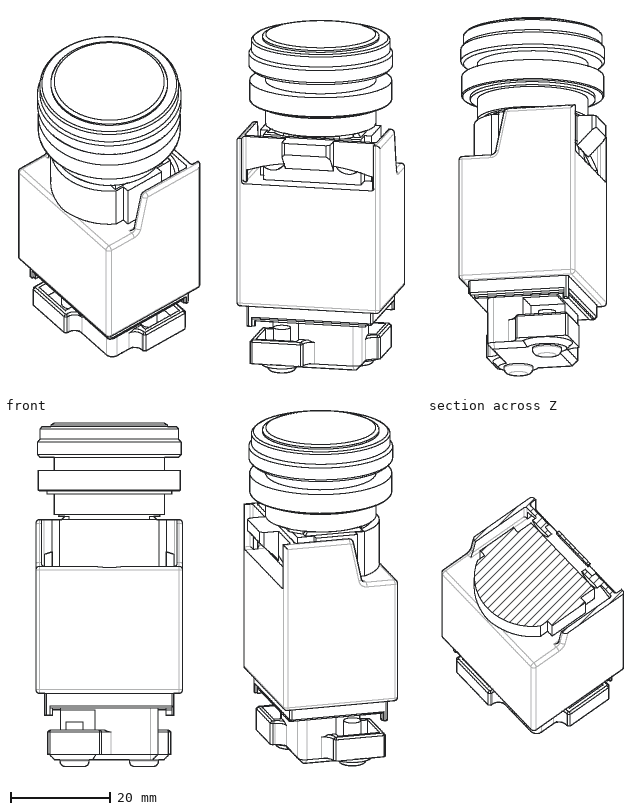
import cadquery as cq
import math

TOTAL_HEIGHT = 69.3
TERMINAL_BOTTOM = 1.4
CUP_BOTTOM = 2.5
CUP_FLOOR = 3.7
CUP_TOP = 7.4
LEG_BOTTOM = 10.3
LIP_BOTTOM = 11.45
SKIRT_BOTTOM = 11.85
CASE_BOTTOM = 14.75
SHELF_TOP = 40.4
CASE_TOP = 49.85
NECK_TOP = 50.45

BARREL_RADIUS = 22.3 / 2
NECK_RADIUS = 20.4 / 2
BARREL_BOTTOM = 50.8
BEZEL_BOTTOM = 62.4
BEZEL_RADIUS = 29.05 / 2
BEZEL_TOP_RADIUS = 28.0 / 2
BEZEL_LOWER_CHAMFER = 0.55
BEZEL_SHOULDER_BOTTOM = 65.45
BEZEL_SHOULDER_TOP = 66.05
BEZEL_TOP = 68.55
BEZEL_TOP_CHAMFER = 0.4
BUTTON_RADIUS = 11.8
BUTTON_BEVEL_BOTTOM = 68.9
BUTTON_BEVEL_WIDTH = 0.7
NECK_HALF_WIDTH = 8.1
NECK_BACK = 8.4
NECK_TAB_HALF_WIDTH = 9.65
NECK_TAB_HALF_DEPTH = 6.1
NECK_TAB_TAPER = 45

NUT_RADIUS = 28.7 / 2
NUT_FLANGE_RADIUS = 25.2 / 2
NUT_FLANGE_BOTTOM = 55.0
NUT_BOTTOM = 55.6
NUT_TOP = 59.75
NUT_CHAMFER = 0.2

CASE_HALF_WIDTH = 29.6 / 2
CASE_HALF_DEPTH = 12.0
CASE_ROUNDING = 0.75
CHEEK_TOP_FRONT = -2.55
CHEEK_FOOT_FRONT = -4.6
CHEEK_ROUNDING = 1.0
CAVITY_HALF_WIDTH = 13.65
CAVITY_ROUNDING = 0.5
WEB_FRONT = 9.35
WEB_BACK = 10.3
WINDOW_HALF_WIDTH = 13.0
WINDOW_SPRING = 42.85
WINDOW_CROWN = 45.0
WEB_BOSS_RADIUS = 3.0
WEB_BOSS_X = 7.8
WEB_BOSS_Z = 45.9
WEB_BOSS_THICKNESS = 1.0

TOWER_RADIUS = 23.65 / 2
TOWER_HALF_WIDTH = 10.05
TOWER_BACK = 7.8
TOWER_PAD_HALF_WIDTH = 11.5
TOWER_PAD_HALF_DEPTH = 4.4

LATCH_HALF_WIDTH = 5.0
LATCH_BACK = 14.15
LATCH_FACE_BOTTOM = 47.5
LATCH_CHAMFER = 0.7

SKIRT_HALF_WIDTH = 13.0
SKIRT_HALF_DEPTH = 10.3
SKIRT_CHAMFER = 0.4
LEG_OUTER_WIDTH = 1.05
LEG_OUTER_DEPTH = 0.8
LEG_WIDTH = 1.6
LEG_DEPTH = 1.2

TERMINAL_ANGLES = (0, 180)
CORE_HALF_WIDTH = 9.85
CORE_HALF_DEPTH = 7.35
CORE_ROUNDING = 1.5
CORE_CHAMFER = CUP_BOTTOM - TERMINAL_BOTTOM
POCKET_RIGHT = -2.9
POCKET_BACK = -0.3
CUP_LEFT = -12.4
CUP_FRONT = -10.05
CUP_RIGHT = -1.5
CUP_BACK = 0.8
CUP_BLEND = 1.9
CUP_WALL = 1.05
CUP_EDGE_CHAMFER = 0.4
SCREW_X = -7.0
SCREW_Y = -4.6
SCREW_RADIUS = 3.5 / 2
SCREW_TOP = 9.0
SCREW_HEAD_RADIUS = 5.9 / 2
SCREW_HEAD_ROUNDING = 1.1
CONE_TOP_RADIUS = 5.1
CONE_BOTTOM_RADIUS = CONE_TOP_RADIUS - CORE_CHAMFER


def box_between(x0, x1, y0, y1, z0, z1):
    return cq.Workplane("XY").box(x1 - x0, y1 - y0, z1 - z0, centered=False).translate((x0, y0, z0))


def centered_box(half_width, half_depth, z0, z1):
    return box_between(-half_width, half_width, -half_depth, half_depth, z0, z1)


def cylinder(radius, z0, z1):
    return cq.Workplane("XY").workplane(offset=z0).circle(radius).extrude(z1 - z0)


def turned(shape, angle):
    """The shape turned about the vertical axis."""
    return shape.rotate((0, 0, 0), (0, 0, 1), angle)


def make_head():
    lower_rim_radius = BEZEL_RADIUS - BEZEL_LOWER_CHAMFER
    upper_rim_radius = BEZEL_TOP_RADIUS - BEZEL_TOP_CHAMFER
    head = (
        cq.Workplane("XZ")
        .moveTo(0, NECK_TOP)
        .lineTo(NECK_RADIUS, NECK_TOP)
        .lineTo(NECK_RADIUS, BARREL_BOTTOM)
        .lineTo(BARREL_RADIUS, BARREL_BOTTOM)
        .lineTo(BARREL_RADIUS, BEZEL_BOTTOM)
        .lineTo(lower_rim_radius, BEZEL_BOTTOM)
        .lineTo(BEZEL_RADIUS, BEZEL_BOTTOM + BEZEL_LOWER_CHAMFER)
        .lineTo(BEZEL_RADIUS, BEZEL_SHOULDER_BOTTOM)
        .lineTo(BEZEL_TOP_RADIUS, BEZEL_SHOULDER_TOP)
        .lineTo(BEZEL_TOP_RADIUS, BEZEL_TOP - BEZEL_TOP_CHAMFER)
        .lineTo(upper_rim_radius, BEZEL_TOP)
        .lineTo(BUTTON_RADIUS, BEZEL_TOP)
        .lineTo(BUTTON_RADIUS, BUTTON_BEVEL_BOTTOM)
        .lineTo(BUTTON_RADIUS - BUTTON_BEVEL_WIDTH, TOTAL_HEIGHT)
        .lineTo(0, TOTAL_HEIGHT)
        .close()
        .revolve(360, (0, 0, 0), (0, 1, 0))
    )
    neck = cylinder(NECK_RADIUS, CASE_TOP, NECK_TOP).intersect(
        box_between(-NECK_HALF_WIDTH, NECK_HALF_WIDTH, -NECK_RADIUS, NECK_BACK, CASE_TOP, NECK_TOP)
    )
    neck_tabs = (
        cq.Workplane("XY")
        .workplane(offset=CASE_TOP)
        .rect(2 * NECK_TAB_HALF_WIDTH, 2 * NECK_TAB_HALF_DEPTH)
        .extrude(NECK_TOP - CASE_TOP, taper=NECK_TAB_TAPER)
    )
    return head.union(neck).union(neck_tabs)


def make_nut():
    ring = cylinder(NUT_RADIUS, NUT_BOTTOM, NUT_TOP).faces("<Z").edges().chamfer(NUT_CHAMFER)
    flange = cylinder(NUT_FLANGE_RADIUS, NUT_FLANGE_BOTTOM, NUT_BOTTOM)
    return ring.union(flange).cut(cylinder(BARREL_RADIUS, NUT_FLANGE_BOTTOM, NUT_TOP))


def make_case_shell():
    """Rounded case, hollowed above the shelf so that cheeks and a back web remain."""
    case = (
        cq.Workplane("YZ")
        .moveTo(-CASE_HALF_DEPTH, CASE_BOTTOM)
        .lineTo(CASE_HALF_DEPTH, CASE_BOTTOM)
        .lineTo(CASE_HALF_DEPTH, CASE_TOP)
        .lineTo(CHEEK_TOP_FRONT, CASE_TOP)
        .lineTo(CHEEK_FOOT_FRONT, SHELF_TOP)
        .lineTo(-CASE_HALF_DEPTH, SHELF_TOP)
        .close()
        .extrude(CASE_HALF_WIDTH, both=True)
    )
    slope_middle = (0, (CHEEK_TOP_FRONT + CHEEK_FOOT_FRONT) / 2, (CASE_TOP + SHELF_TOP) / 2)
    case = case.faces(cq.selectors.NearestToPointSelector(slope_middle)).edges("|X").fillet(CHEEK_ROUNDING)
    case = case.edges("<X or >X or <Z or (|X and <Y)").fillet(CASE_ROUNDING)
    front_cavity = box_between(
        -CAVITY_HALF_WIDTH, CAVITY_HALF_WIDTH, -CASE_HALF_DEPTH, WEB_FRONT, SHELF_TOP, CASE_TOP
    )
    front_cavity = front_cavity.edges("(|Y and <Z) or (|Z and >Y)").fillet(CAVITY_ROUNDING)
    rear_cavity = box_between(
        -CAVITY_HALF_WIDTH, CAVITY_HALF_WIDTH, WEB_BACK, CASE_HALF_DEPTH, SHELF_TOP, CASE_TOP
    )
    rear_cavity = rear_cavity.edges("(|Y and <Z) or (|Z and <Y)").fillet(CAVITY_ROUNDING)
    window = (
        cq.Workplane("XZ", origin=(0, WEB_BACK, 0))
        .moveTo(-WINDOW_HALF_WIDTH, SHELF_TOP)
        .lineTo(-WINDOW_HALF_WIDTH, WINDOW_SPRING)
        .threePointArc((0, WINDOW_CROWN), (WINDOW_HALF_WIDTH, WINDOW_SPRING))
        .lineTo(WINDOW_HALF_WIDTH, SHELF_TOP)
        .close()
        .extrude(WEB_BACK - WEB_FRONT)
    )
    return case.cut(front_cavity).cut(rear_cavity).cut(window)


def make_web_bosses():
    return (
        cq.Workplane("XZ", origin=(0, WEB_FRONT, 0))
        .pushPoints([(side * WEB_BOSS_X, WEB_BOSS_Z) for side in (-1, 1)])
        .circle(WEB_BOSS_RADIUS)
        .extrude(WEB_BOSS_THICKNESS)
    )


def make_tower():
    """Round-fronted tower with a flat back and a raised pad on each side."""
    tower_bottom = SHELF_TOP - CASE_ROUNDING
    arc_end = -math.sqrt(TOWER_RADIUS**2 - TOWER_HALF_WIDTH**2)
    tower = (
        cq.Workplane("XY")
        .workplane(offset=tower_bottom)
        .moveTo(-TOWER_HALF_WIDTH, TOWER_BACK)
        .lineTo(-TOWER_HALF_WIDTH, arc_end)
        .threePointArc((0, -TOWER_RADIUS), (TOWER_HALF_WIDTH, arc_end))
        .lineTo(TOWER_HALF_WIDTH, TOWER_BACK)
        .close()
        .extrude(CASE_TOP - tower_bottom)
    )
    pads = centered_box(TOWER_PAD_HALF_WIDTH, TOWER_PAD_HALF_DEPTH, SHELF_TOP, CASE_TOP)
    return tower.union(pads)


def make_latch():
    """Hook behind the web, with its underside sloping at 45 degrees."""
    latch = (
        cq.Workplane("YZ")
        .moveTo(WEB_BACK, CASE_TOP)
        .lineTo(LATCH_BACK, CASE_TOP)
        .lineTo(LATCH_BACK, LATCH_FACE_BOTTOM)
        .lineTo(WEB_BACK, LATCH_FACE_BOTTOM - (LATCH_BACK - WEB_BACK))
        .close()
        .extrude(LATCH_HALF_WIDTH, both=True)
    )
    return latch.edges("|Z and >Y").chamfer(LATCH_CHAMFER)


def make_skirt():
    skirt = centered_box(SKIRT_HALF_WIDTH, SKIRT_HALF_DEPTH, SKIRT_BOTTOM, CASE_BOTTOM)
    skirt = skirt.edges("|Z or <Z").chamfer(SKIRT_CHAMFER)
    rear_lip = box_between(
        -SKIRT_HALF_WIDTH + LEG_WIDTH,
        SKIRT_HALF_WIDTH - SKIRT_CHAMFER,
        SKIRT_HALF_DEPTH - LEG_DEPTH,
        SKIRT_HALF_DEPTH - SKIRT_CHAMFER,
        LIP_BOTTOM,
        SKIRT_BOTTOM,
    )
    right_lip = box_between(
        SKIRT_HALF_WIDTH - LEG_WIDTH,
        SKIRT_HALF_WIDTH - SKIRT_CHAMFER,
        -SKIRT_HALF_DEPTH + LEG_DEPTH,
        SKIRT_HALF_DEPTH - SKIRT_CHAMFER,
        LIP_BOTTOM,
        SKIRT_BOTTOM,
    )
    return skirt.union(rear_lip).union(right_lip)


def make_leg():
    """Leg at the front left corner of the skirt: an outer post backed by a thicker inner one."""
    left = -SKIRT_HALF_WIDTH
    front = -SKIRT_HALF_DEPTH
    leg_top = SKIRT_BOTTOM + SKIRT_CHAMFER
    outer = box_between(
        left, left + LEG_OUTER_WIDTH, front, front + LEG_OUTER_DEPTH, LEG_BOTTOM, leg_top
    )
    outer = outer.edges("|Z and <X and <Y").chamfer(SKIRT_CHAMFER)
    inner = box_between(
        left + SKIRT_CHAMFER, left + LEG_WIDTH, front + SKIRT_CHAMFER, front + LEG_DEPTH, LEG_BOTTOM, leg_top
    )
    return outer.union(inner)


def make_terminal_core():
    core = centered_box(CORE_HALF_WIDTH, CORE_HALF_DEPTH, TERMINAL_BOTTOM, SKIRT_BOTTOM)
    core = core.edges("|Z and ((>X and <Y) or (<X and >Y))").fillet(CORE_ROUNDING)
    return core.faces("<Z").edges().chamfer(CORE_CHAMFER)


def make_cup():
    """Cup of the front left terminal, blended into the core at both ends."""
    blend_offset = CUP_BLEND * (1 - math.sqrt(0.5))
    right_blend = (CUP_RIGHT + blend_offset, -CORE_HALF_DEPTH - blend_offset)
    back_blend = (-CORE_HALF_WIDTH - blend_offset, CUP_BACK + blend_offset)
    cup = (
        cq.Workplane("XY")
        .workplane(offset=CUP_BOTTOM)
        .moveTo(CUP_LEFT, CUP_FRONT)
        .lineTo(CUP_RIGHT, CUP_FRONT)
        .lineTo(CUP_RIGHT, -CORE_HALF_DEPTH - CUP_BLEND)
        .threePointArc(right_blend, (CUP_RIGHT + CUP_BLEND, -CORE_HALF_DEPTH))
        .lineTo(CUP_RIGHT + CUP_BLEND, CUP_BACK + CUP_BLEND)
        .lineTo(-CORE_HALF_WIDTH, CUP_BACK + CUP_BLEND)
        .threePointArc(back_blend, (-CORE_HALF_WIDTH - CUP_BLEND, CUP_BACK))
        .lineTo(CUP_LEFT, CUP_BACK)
        .close()
        .extrude(CUP_TOP - CUP_BOTTOM)
    )
    cup = cup.edges("(|Z and <X) or (|Z and <Y)").chamfer(CUP_EDGE_CHAMFER)
    return cup.faces(">Z").edges().chamfer(CUP_EDGE_CHAMFER)


def make_cup_hollow():
    """Space inside the cup and the corner of the core that is cut away above it."""
    hollow = box_between(
        CUP_LEFT + CUP_WALL, POCKET_RIGHT, CUP_FRONT + CUP_WALL, POCKET_BACK, CUP_FLOOR, CUP_TOP
    )
    core_corner = box_between(
        -CORE_HALF_WIDTH, POCKET_RIGHT, -CORE_HALF_DEPTH, POCKET_BACK, CUP_TOP, LIP_BOTTOM
    )
    return hollow.union(core_corner)


def make_screw():
    """Screw of the front left terminal, with a rounded head under a conical seat."""
    seat = (
        cq.Workplane("XY")
        .workplane(offset=TERMINAL_BOTTOM)
        .circle(CONE_BOTTOM_RADIUS)
        .workplane(offset=CORE_CHAMFER)
        .circle(CONE_TOP_RADIUS)
        .loft(ruled=True)
    )
    head = cylinder(SCREW_HEAD_RADIUS, 0, TERMINAL_BOTTOM).faces("<Z").edges().fillet(SCREW_HEAD_ROUNDING)
    shank = cylinder(SCREW_RADIUS, CUP_BOTTOM, SCREW_TOP)
    return seat.union(head).union(shank).translate((SCREW_X, SCREW_Y, 0))


def make_contact_block():
    block = make_case_shell().union(make_web_bosses()).union(make_tower()).union(make_latch())
    block = block.union(make_skirt())
    terminals = make_terminal_core()
    for angle in TERMINAL_ANGLES:
        terminals = terminals.union(turned(make_cup(), angle)).cut(turned(make_cup_hollow(), angle))
        terminals = terminals.union(turned(make_screw(), angle))
        block = block.union(turned(make_leg(), angle))
    return block.union(terminals)


head = make_head()
nut = make_nut()
contact_block = make_contact_block()

result = cq.Compound.makeCompound([head.val(), nut.val(), contact_block.val()])